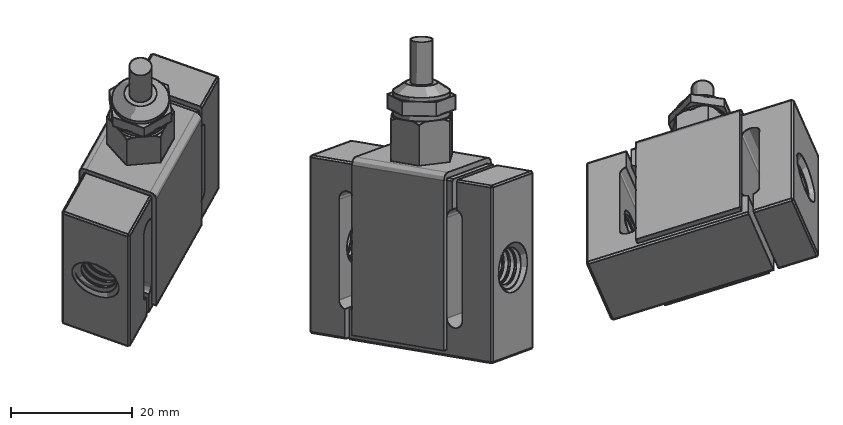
import cadquery as cq
import math


cover_width = 13.85
cover_wall = 0.8
block_width = cover_width - 2 * cover_wall
block_length = 36.3
block_height = 30.2
block_chamfer = 0.3

slot_width = 3.05
slot_height = 20.15
slot_offset = 10.7
slit_width = 0.85

bore_radius = 3.05
countersink_radius = 4.2
thread_root_radius = 3.8
thread_pitch = 1.25
thread_angle = 60.0
thread_start_angle = 190.0
end_wall = block_length / 2 - slot_offset - slot_width / 2
countersink_depth = countersink_radius - bore_radius

cover_length = 18.3
cover_roof = 0.95
cover_top = block_height + cover_roof
cover_bottom = 1.15
cover_inner_radius = block_chamfer
cover_outer_radius = 1.2

across_flats = 9.75
across_corners = across_flats / math.cos(math.radians(30))
body_top = 38.5
body_chamfer_height = 0.45
collar_radius = 4.7
nut_bottom = 39.45
nut_top = 41.85
cone_bottom = 42.5
cone_top = 43.95
cone_top_radius = 2.65
cable_radius = 1.85
cable_top = 51.2


def make_slot(side):
    """A round-ended slot through the block, with a slit that opens upward on +Y and downward on -Y."""
    centre_y = side * slot_offset
    centre_z = block_height / 2
    slot = (
        cq.Workplane("YZ")
        .center(centre_y, centre_z)
        .slot2D(slot_height, slot_width, 90)
        .extrude(block_width, both=True)
    )
    slit = cq.Workplane("XY").box(block_width, slit_width, block_height)
    return slot.union(slit.translate((0, centre_y, centre_z + side * block_height / 2)))


def make_thread_groove():
    """A V groove wound left-handed along +Z, with the block's end face at Z = 0."""
    half_angle_tangent = math.tan(math.radians(thread_angle / 2))
    bore_overlap = 0.2
    inner_radius = bore_radius - bore_overlap
    half_width = (thread_root_radius - inner_radius) * half_angle_tangent
    runout_depth = countersink_radius - thread_root_radius
    start = runout_depth - thread_pitch
    length = end_wall + slot_width / 2 - start
    helix = cq.Wire.makeHelix(thread_pitch, length, bore_radius, lefthand=True)
    groove = (
        cq.Workplane("XZ")
        .polyline([
            (inner_radius, -half_width),
            (thread_root_radius, 0),
            (inner_radius, half_width),
        ])
        .close()
        .sweep(cq.Workplane(helix), isFrenet=True)
    )
    return groove.rotate((0, 0, 0), (0, 0, 1), -thread_start_angle).translate((0, 0, start))


def make_threaded_hole():
    """The cutter for the hole in the -Y end: a countersunk bore with its thread groove."""
    bore = (
        cq.Workplane("XZ")
        .polyline([
            (0, 0),
            (countersink_radius, 0),
            (bore_radius, countersink_depth),
            (bore_radius, end_wall + slot_width / 2),
            (0, end_wall + slot_width / 2),
        ])
        .close()
        .revolve(360, (0, 0, 0), (0, 1, 0))
    )
    cutter = bore.union(make_thread_groove()).rotate((0, 0, 0), (1, 0, 0), -90)
    return cutter.translate((0, -block_length / 2, block_height / 2))


def make_block():
    block = (
        cq.Workplane("XY")
        .box(block_width, block_length, block_height, centered=(True, True, False))
        .edges()
        .chamfer(block_chamfer)
    )
    for side in (1, -1):
        block = block.cut(make_slot(side))
    threaded_hole = make_threaded_hole()
    for turn in (0, 180):
        block = block.cut(threaded_hole.rotate((0, 0, 0), (0, 0, 1), turn))
    return block


def make_cover():
    cover = (
        cq.Workplane("XY", origin=(0, 0, cover_bottom))
        .box(cover_width, cover_length, cover_top - cover_bottom, centered=(True, True, False))
        .edges("|Y and >Z")
        .fillet(cover_outer_radius)
    )
    opening = (
        cq.Workplane("XY")
        .box(block_width, cover_length, block_height, centered=(True, True, False))
        .edges("|Y and >Z")
        .fillet(cover_inner_radius)
    )
    return cover.cut(opening)


def make_hexagon(bottom, top, turn):
    """A hexagonal prism; with no turn its corners point along X."""
    prism = cq.Workplane("XY").polygon(6, across_corners).extrude(top - bottom)
    return prism.rotate((0, 0, 0), (0, 0, 1), turn).translate((0, 0, bottom))


def make_gland():
    """The hexagonal body, neck, nut, cone and cable as one solid."""
    chamfer_cone = (
        cq.Workplane("XZ")
        .polyline([
            (0, cover_top),
            (across_corners / 2, cover_top),
            (across_corners / 2, body_top - body_chamfer_height),
            (across_corners / 2 - body_chamfer_height, body_top),
            (0, body_top),
        ])
        .close()
        .revolve(360, (0, 0, 0), (0, 1, 0))
    )
    body = make_hexagon(cover_top, body_top, 30).intersect(chamfer_cone)
    nut = make_hexagon(nut_bottom, nut_top, 0)
    round_parts = (
        cq.Workplane("XZ")
        .polyline([
            (0, cover_top),
            (collar_radius, cover_top),
            (collar_radius, cone_bottom),
            (cone_top_radius, cone_top),
            (cable_radius, cone_top),
            (cable_radius, cable_top),
            (0, cable_top),
        ])
        .close()
        .revolve(360, (0, 0, 0), (0, 1, 0))
    )
    return body.union(round_parts).union(nut)


block = make_block()
cover = make_cover()
gland = make_gland()

result = cq.Compound.makeCompound([block.val(), cover.val(), gland.val()])